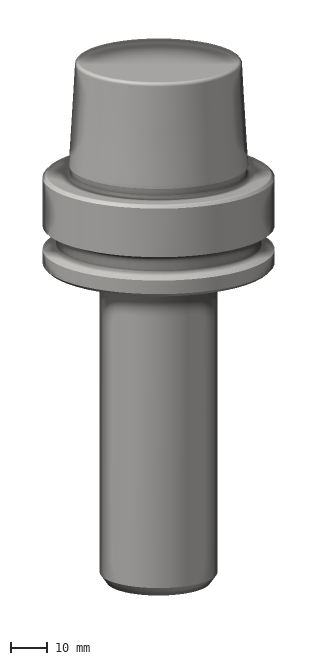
import cadquery as cq

total_height = 146.9
flange_bottom = 89.0
flange_top = 114.9
taper_bottom = 117.5

flange_radius = 63.0 / 2
shank_radius = 16.0
neck_radius = 24.0
taper_base_radius = 24.4
taper_top_radius = 22.6

groove_radius = 27.8
groove_floor_bottom = 95.0
groove_floor_top = 99.0
groove_side_height = 1.3

relief_outer_radius = 26.5
relief_depth = 0.3

flange_chamfer = 0.9
shank_chamfer_height = 2.6
shank_chamfer_width = 1.9
shank_fillet = 1.8
taper_top_fillet = 1.0
neck_fillet = 0.9
groove_fillet = 0.5
flange_rim_fillet = 0.7


def revolved_body():
    """Solid of revolution from a half profile in the XZ plane."""
    flange_edge_radius = flange_radius - flange_chamfer
    fillet_offset = shank_fillet * (1 - 0.5 ** 0.5)
    profile = (
        cq.Workplane("XZ")
        .lineTo(shank_radius - shank_chamfer_width, 0)
        .lineTo(shank_radius, shank_chamfer_height)
        .lineTo(shank_radius, flange_bottom - shank_fillet)
        .threePointArc(
            (shank_radius + fillet_offset, flange_bottom - fillet_offset),
            (shank_radius + shank_fillet, flange_bottom),
        )
        .lineTo(flange_edge_radius, flange_bottom)
        .lineTo(flange_radius, flange_bottom + flange_chamfer)
        .lineTo(flange_radius, groove_floor_bottom - groove_side_height)
        .lineTo(groove_radius, groove_floor_bottom)
        .lineTo(groove_radius, groove_floor_top)
        .lineTo(flange_radius, groove_floor_top + groove_side_height)
        .lineTo(flange_radius, flange_top - flange_chamfer)
        .lineTo(flange_edge_radius, flange_top)
        .lineTo(relief_outer_radius, flange_top)
        .lineTo(neck_radius, flange_top - relief_depth)
        .lineTo(neck_radius, taper_bottom)
        .lineTo(taper_base_radius, taper_bottom)
        .lineTo(taper_top_radius, total_height)
        .lineTo(0, total_height)
        .close()
    )
    return profile.revolve(360, (0, 0, 0), (0, 1, 0))


def fillet_ring(body, radius, height, fillet_radius):
    """Round the circular edge about Z with the given radius and height."""
    tolerance = 0.001
    rings = [
        edge
        for edge in body.edges("%CIRCLE").vals()
        if abs(edge.radius() - radius) < tolerance
        and abs(edge.Center().z - height) < tolerance
    ]
    return body.newObject(rings).fillet(fillet_radius)


result = revolved_body()
result = fillet_ring(result, taper_top_radius, total_height, taper_top_fillet)
result = fillet_ring(result, neck_radius, flange_top - relief_depth, neck_fillet)
result = fillet_ring(result, flange_radius - flange_chamfer, flange_top, flange_rim_fillet)
for floor_edge_height in (groove_floor_bottom, groove_floor_top):
    result = fillet_ring(result, groove_radius, floor_edge_height, groove_fillet)